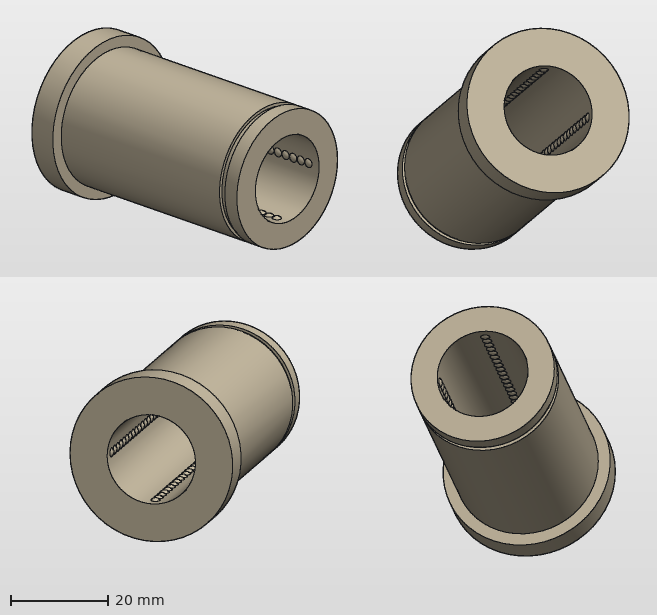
import cadquery as cq

length = 56.0
flange_diameter = 35.0
flange_thickness = 6.0
body_diameter = 30.0
bore_diameter = 19.0

groove_diameter = 28.6
groove_width = 1.5
end_land_width = 3.4

ball_diameter = 2.5
ball_protrusion = 0.5
first_ball_inset = 3.0
balls_per_row = 24
row_count = 4


def cylinder(diameter, start, width):
    """Solid cylinder on the X axis, running from start in +X."""
    return cq.Workplane("YZ").workplane(offset=start).circle(diameter / 2).extrude(width)


def make_sleeve():
    """Flanged sleeve with a through bore and an outside ring groove."""
    flange = cylinder(flange_diameter, 0, flange_thickness)
    body = cylinder(body_diameter, 0, length)
    bore = cylinder(bore_diameter, 0, length)
    groove_start = length - end_land_width - groove_width
    groove = cylinder(flange_diameter, groove_start, groove_width).cut(
        cylinder(groove_diameter, groove_start, groove_width)
    )
    return flange.union(body).cut(bore).cut(groove)


def make_ball_row():
    """Row of balls along the top of the bore, centred on the sleeve length."""
    ball_pitch = (length - 2 * first_ball_inset) / (balls_per_row - 1)
    centre_height = bore_diameter / 2 - ball_protrusion + ball_diameter / 2
    centres = [(first_ball_inset + i * ball_pitch, 0, centre_height) for i in range(balls_per_row)]
    return cq.Workplane("XY").pushPoints(centres).sphere(ball_diameter / 2)


result = make_sleeve()
ball_row = make_ball_row()
for row in range(row_count):
    result = result.union(ball_row.rotate((0, 0, 0), (1, 0, 0), row * 360 / row_count))